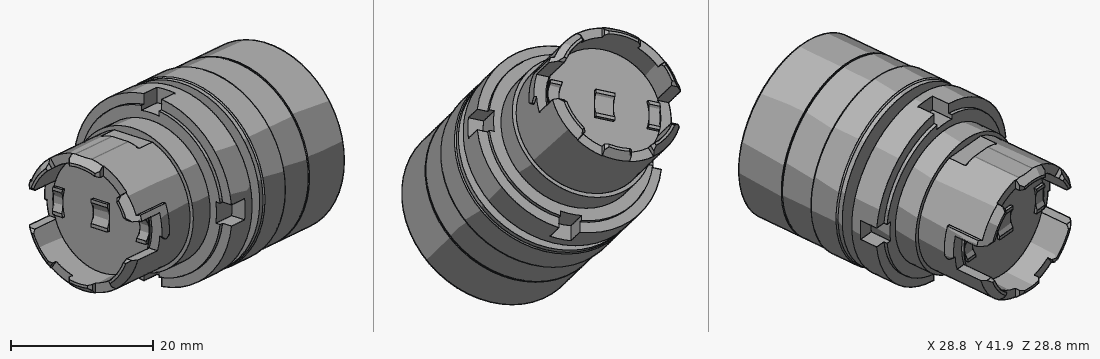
import cadquery as cq
import math


cap_radius = 28.3 / 2
bezel_radius = 28.8 / 2
lip_radius = 28.5 / 2
edge_chamfer = 0.25
seam_depth = 7.97
bezel_start = 13.37
bezel_end = 18.4
lip_end = 19.14

sleeve_radius = 21.8 / 2
sleeve_end = 29.75
nut_radius = bezel_radius
nut_start = 21.0
nut_end = 25.46
nut_step_radius = 25.6 / 2
nut_step_end = 26.03
notch_floor_radius = 24.1 / 2
notch_width = 3.24
notch_start = 22.55
notch_pitch = 90

nose_radius = 20.6 / 2
bore_radius = 17.7 / 2
total_length = 41.9
rim_depth = 40.65
bore_floor = 36.84
tip_radius = 9.28
cone_length = 1.12
tooth_chamfer = 0.5

relief_height = 9.7
relief_end = 32.68
key_flat_width = 2.95
key_flat_height = math.sqrt(nose_radius**2 - (key_flat_width / 2)**2)

slot_half_width = 2.95
slot_floor = 36.43
rib_radius = 10.68
rib_top = 3.81
rib_start = 34.77
rib_tip = -1.27
rib_shoulder = -0.85
rib_tip_start = 35.3
rib_tip_end = 35.6
rib_corner = -0.6

up = 90
down = 270
vertical_tooth_edge = 2.1
top_tooth_right_edge = 3.5
upper_right_tooth_angle = 41.5
upper_left_tooth_angle = 126.5
lower_left_tooth_angle = 235
lower_right_tooth_angle = 305

saddle_height = 0.45
saddle_half_length = 2.13
hollow_half_length = 1.59
center_saddle_half_width = 1.47
side_saddle_inner_radius = 7.0
side_saddle_outer_radius = 8.7

reach = 2 * bezel_radius


def block(x_min, x_max, depth_min, depth_max, z_min, z_max):
    """Box between two X limits, two depths and two Z limits."""
    size = (x_max - x_min, depth_max - depth_min, z_max - z_min)
    return cq.Workplane("XY").box(*size, centered=False).translate((x_min, -depth_max, z_min))


def cylinder(radius, depth_min, depth_max):
    """Cylinder about the Y axis between two depths."""
    start = cq.Workplane("XZ", origin=(0, -depth_min, 0))
    return start.circle(radius).extrude(depth_max - depth_min)


def turned(profile):
    """Solid of revolution about Y from (radius, depth) points."""
    points = [(radius, -depth) for radius, depth in profile]
    return cq.Workplane("XY").polyline(points).close().revolve(360, (0, 0, 0), (0, 1, 0))


def make_body():
    return turned([
        (0, 0),
        (cap_radius - edge_chamfer, 0),
        (cap_radius, edge_chamfer),
        (cap_radius, seam_depth),
        (cap_radius - edge_chamfer, seam_depth),
        (cap_radius, seam_depth + edge_chamfer),
        (cap_radius, bezel_start),
        (bezel_radius, bezel_start + edge_chamfer),
        (bezel_radius, bezel_end - edge_chamfer),
        (lip_radius, bezel_end),
        (lip_radius, lip_end),
        (sleeve_radius, lip_end),
        (sleeve_radius, nut_start),
        (nut_radius, nut_start),
        (nut_radius, nut_end),
        (nut_step_radius, nut_end),
        (nut_step_radius, nut_step_end),
        (sleeve_radius, nut_step_end),
        (sleeve_radius, sleeve_end),
        (nose_radius, sleeve_end),
        (nose_radius, total_length),
        (0, total_length),
    ])


def make_nut_notches():
    half = notch_width / 2
    bars = block(-half, half, notch_start, nut_step_end, -reach, reach)
    bars = bars.union(bars.rotate((0, 0, 0), (0, 1, 0), notch_pitch))
    return bars.cut(cylinder(notch_floor_radius, notch_start, nut_step_end))


def make_top_flats():
    relief = block(-reach, reach, sleeve_end, relief_end, relief_height, nose_radius)
    half = key_flat_width / 2
    key_flat = block(-half, half, relief_end, total_length, key_flat_height, reach)
    return relief.union(key_flat)


def make_rib():
    """Hooked rib on the -X side, standing on the nose above the slot."""
    outline = [
        (-rib_start, rib_top),
        (-rib_start, rib_shoulder),
        (-rib_tip_start, rib_tip),
        (-rib_tip_end, rib_tip),
        (-slot_floor, rib_corner),
        (-slot_floor, slot_half_width),
        (-total_length, slot_half_width),
        (-total_length, rib_top),
    ]
    hook = cq.Workplane("YZ").polyline(outline).close().extrude(-rib_radius)
    shell = cylinder(rib_radius, rib_start, total_length)
    shell = shell.cut(cylinder(bore_radius, rib_start, total_length))
    return hook.intersect(shell)


def make_tip_trim():
    """Material outside the cone at the tip of the nose, ribs included."""
    slope = cone_length / (nose_radius - tip_radius)
    cone_start = total_length - slope * (rib_radius - tip_radius)
    return turned([
        (tip_radius, total_length),
        (rib_radius, cone_start),
        (reach, cone_start),
        (reach, total_length),
    ])


def make_flank_cut(angle, offset, tooth_side):
    """Space beside a tooth flank that runs outward at `angle` from +X towards +Z.

    `offset` is the flank's distance from the axis, positive on its clockwise side
    as seen from the tip. `tooth_side` is 1 when the tooth lies clockwise of the
    flank and -1 when it lies anticlockwise; the space is on the other side.
    """
    far = offset - tooth_side * reach
    outline = [
        (offset, -rim_depth),
        (offset, tooth_chamfer - total_length),
        (offset + tooth_side * tooth_chamfer, -total_length),
        (far, -total_length),
        (far, -rim_depth),
    ]
    space = cq.Workplane("XY").polyline(outline).close().extrude(reach)
    return space.rotate((0, 0, 0), (0, 1, 0), up - angle)


def make_tooth_gaps():
    """Four gaps in the rim, each lying between the flanks of two teeth."""
    gaps = [
        ((up, top_tooth_right_edge), (upper_right_tooth_angle, 0)),
        ((upper_left_tooth_angle, 0), (up, -vertical_tooth_edge)),
        ((down, vertical_tooth_edge), (lower_left_tooth_angle, 0)),
        ((lower_right_tooth_angle, 0), (down, -vertical_tooth_edge)),
    ]
    cuts = cq.Workplane("XY")
    for (first_angle, first_offset), (second_angle, second_offset) in gaps:
        first = make_flank_cut(first_angle, first_offset, -1)
        second = make_flank_cut(second_angle, second_offset, 1)
        cuts = cuts.add(first.intersect(second))
    return cuts.combine()


def make_side_slots():
    """Slot across the nose wall on both sides, with chamfered tooth edges."""
    half = slot_half_width
    chamfer_start = total_length - tooth_chamfer
    outline = [
        (-slot_floor, -half),
        (-slot_floor, half),
        (-chamfer_start, half),
        (-total_length, half + tooth_chamfer),
        (-total_length, -half - tooth_chamfer),
        (-chamfer_start, -half),
    ]
    slot = cq.Workplane("YZ").polyline(outline).close().extrude(reach, both=True)
    return slot.cut(cylinder(bore_radius, slot_floor, bore_floor))


def make_saddle(x_min, x_max):
    """Low block on the bore floor with a round hollow across its middle."""
    top = bore_floor + saddle_height
    half = saddle_half_length
    outline = (
        cq.Workplane("YZ", origin=(x_min, 0, 0))
        .moveTo(-slot_floor, -half)
        .lineTo(-top, -half)
        .lineTo(-top, -hollow_half_length)
        .threePointArc((-bore_floor, 0), (-top, hollow_half_length))
        .lineTo(-top, half)
        .lineTo(-slot_floor, half)
        .close()
    )
    return outline.extrude(x_max - x_min)


def make_side_saddles():
    """Saddles near both ends of the bore, ended by arcs about the Y axis."""
    top = bore_floor + saddle_height
    bar = make_saddle(-bore_radius, bore_radius)
    bar = bar.intersect(cylinder(side_saddle_outer_radius, slot_floor, top))
    return bar.cut(cylinder(side_saddle_inner_radius, slot_floor, top))


result = make_body().cut(make_nut_notches()).cut(make_top_flats())

rib = make_rib()
result = result.union(rib).union(rib.mirror("YZ"))

result = result.cut(make_tip_trim())
result = result.cut(cylinder(bore_radius, bore_floor, total_length))
result = result.cut(make_side_slots()).cut(make_tooth_gaps())

result = result.union(make_saddle(-center_saddle_half_width, center_saddle_half_width))
result = result.union(make_side_saddles())